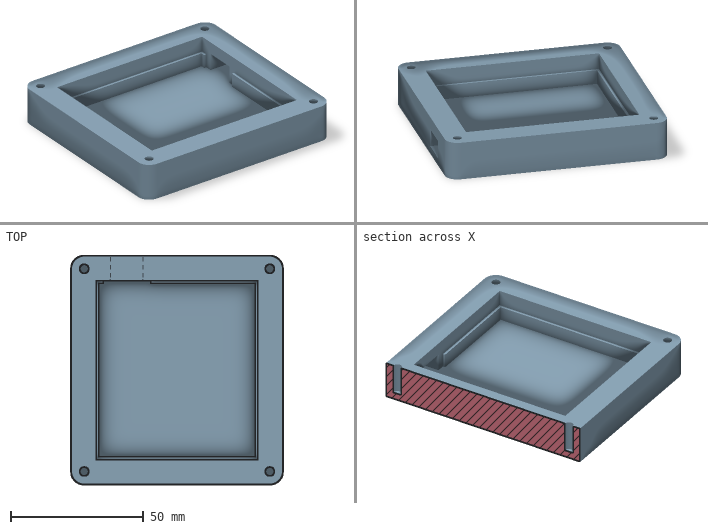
import cadquery as cq

LENGTH_X = 80.15
LENGTH_Y = 86.6
HEIGHT = 15.0
CORNER_RADIUS = 5.0

HOLE_DIAMETER = 3.4
HOLE_INSET = CORNER_RADIUS

WALL = 9.5
LEDGE_WIDTH = 1.0
LEDGE_Z = 8.6
FLOOR_Z = 3.0

HOLE_BOTTOM_Z = FLOOR_Z

GAP_START_X = -27.9
GAP_END_X = -9.9

WINDOW_START_X = -25.2
WINDOW_END_X = -13.0
WINDOW_HEIGHT = 7.0

UPPER_X = LENGTH_X - 2 * WALL
UPPER_Y = LENGTH_Y - 2 * WALL
LOWER_X = UPPER_X - 2 * LEDGE_WIDTH
LOWER_Y = UPPER_Y - 2 * LEDGE_WIDTH


def box_between(start, end):
    """Axis-aligned box spanning two opposite corners."""
    size = [high - low for low, high in zip(start, end)]
    return cq.Workplane("XY").box(*size, centered=False).translate(start)


def rounded_block():
    block = cq.Workplane("XY").box(LENGTH_X, LENGTH_Y, HEIGHT, centered=(True, True, False))
    return block.edges("|Z").fillet(CORNER_RADIUS)


def pocket_step(size_x, size_y, bottom_z):
    """Rectangular cutter from bottom_z up to the top face."""
    return cq.Workplane("XY").workplane(offset=bottom_z).rect(size_x, size_y).extrude(HEIGHT - bottom_z)


def screw_holes():
    spacing_x = LENGTH_X - 2 * HOLE_INSET
    spacing_y = LENGTH_Y - 2 * HOLE_INSET
    hole_bottom = cq.Workplane("XY").workplane(offset=HOLE_BOTTOM_Z)
    centres = hole_bottom.rect(spacing_x, spacing_y, forConstruction=True).vertices()
    return centres.circle(HOLE_DIAMETER / 2).extrude(HEIGHT - HOLE_BOTTOM_Z)


def ledge_gap():
    return box_between((GAP_START_X, 0, FLOOR_Z), (GAP_END_X, UPPER_Y / 2, LEDGE_Z))


def wall_window():
    return box_between(
        (WINDOW_START_X, 0, FLOOR_Z),
        (WINDOW_END_X, LENGTH_Y / 2, FLOOR_Z + WINDOW_HEIGHT),
    )


result = (
    rounded_block()
    .cut(pocket_step(UPPER_X, UPPER_Y, LEDGE_Z))
    .cut(pocket_step(LOWER_X, LOWER_Y, FLOOR_Z))
    .cut(ledge_gap())
    .cut(wall_window())
    .cut(screw_holes())
)